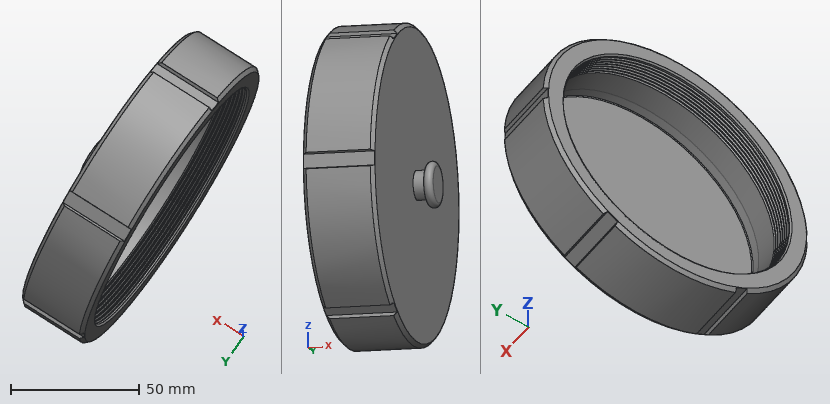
import cadquery as cq
import math

outer_radius = 63.5
lid_width = 29.0
rim_chamfer = 1.5

mouth_radius = 55.0
bore_radius = 54.4
seat_radius = 54.1
floor_chamfer = 0.4
mouth_depth = 0.8
bore_depth = 21.2
seat_depth = 25.1

thread_start = 1.5
thread_pitch = 1.4
thread_turns = 7
thread_depth = 0.8
thread_width = 1.0
thread_overlap = 0.3

slot_count = 6
slot_depth = 1.4
slot_floor_width = 5.6
slot_flare = math.radians(20)
slot_overshoot = 1.3

neck_radius = 5.8
neck_length = 4.7
head_radius = 9.1
head_thickness = 3.8


def revolve_about_x(profile):
    return profile.close().revolve(360, (0, 0, 0), (1, 0, 0))


def make_lid():
    disc = cq.Workplane("YZ").circle(outer_radius).extrude(lid_width)
    return disc.edges().chamfer(rim_chamfer)


def make_bore():
    """Chamfered mouth, main bore and a slightly tapered seat with a chamfered floor edge."""
    return revolve_about_x(
        cq.Workplane("XY")
        .lineTo(0, mouth_radius)
        .lineTo(mouth_depth, bore_radius)
        .lineTo(bore_depth, bore_radius)
        .lineTo(seat_depth - floor_chamfer, seat_radius)
        .lineTo(seat_depth, seat_radius - floor_chamfer)
        .lineTo(seat_depth, 0)
    )


def make_thread_groove(start):
    """Ring with a V section that stands in for one turn of the thread."""
    inner_radius = bore_radius - thread_overlap
    return revolve_about_x(
        cq.Workplane("XY")
        .moveTo(start, inner_radius)
        .lineTo(start, bore_radius)
        .lineTo(start + thread_width / 2, bore_radius + thread_depth)
        .lineTo(start + thread_width, bore_radius)
        .lineTo(start + thread_width, inner_radius)
    )


def make_slot(angle):
    floor_radius = outer_radius - slot_depth
    top_radius = outer_radius + slot_overshoot
    half_floor = slot_floor_width / 2
    half_top = half_floor + (top_radius - floor_radius) * math.tan(slot_flare)
    return (
        cq.Workplane("YZ")
        .polyline([
            (floor_radius, -half_floor),
            (top_radius, -half_top),
            (top_radius, half_top),
            (floor_radius, half_floor),
        ])
        .close()
        .extrude(lid_width)
        .rotate((0, 0, 0), (1, 0, 0), angle)
    )


def make_knob():
    """Cylindrical neck carrying a round head with a fully rounded rim."""
    edge_radius = head_thickness / 2
    head_start = lid_width + neck_length
    head_end = head_start + head_thickness
    return revolve_about_x(
        cq.Workplane("XY")
        .moveTo(lid_width, 0)
        .lineTo(lid_width, neck_radius)
        .lineTo(head_start, neck_radius)
        .lineTo(head_start, head_radius - edge_radius)
        .threePointArc((head_start + edge_radius, head_radius), (head_end, head_radius - edge_radius))
        .lineTo(head_end, 0)
    )


result = make_lid().cut(make_bore())
for turn in range(thread_turns):
    result = result.cut(make_thread_groove(thread_start + turn * thread_pitch))
for index in range(slot_count):
    result = result.cut(make_slot(index * 360 / slot_count))
result = result.union(make_knob())